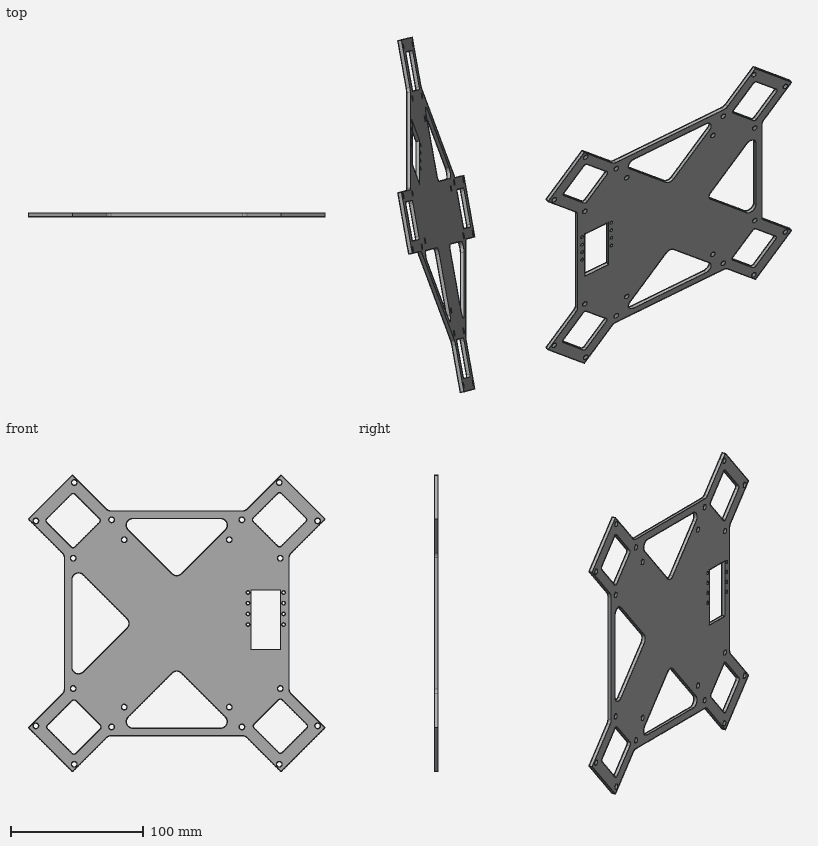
import cadquery as cq
import math

THICKNESS = 3.0
OVERALL = 224.3
BODY_SIDE = 170.0
ARM_WIDTH = 47.0
ARM_ROOT_RADIUS = 5.0

ARM_REACH = OVERALL / math.sqrt(2) - ARM_WIDTH / 2

ARM_WINDOW_SIDE = 30.0
ARM_WINDOW_RADIUS = 2.0
ARM_WINDOW_REACH = 110.4
ARM_WINDOW_OFFSET = 0.5

SCREW_DIAMETER = 4.0
ARM_HOLE_REACHES = (90.2, 130.0)
ARM_HOLE_SPACING = 41.0
BODY_HOLE_SPACING_X = 79.5
BODY_HOLE_SPACING_Z = 126.5

TRIANGLE_BASE = 79.2
TRIANGLE_APEX = 34.0
TRIANGLE_RADIUS = 5.0
TRIANGLE_ANGLES = (90, 180, 270)

SLOT_WIDTH = 22.0
SLOT_HEIGHT = 44.9
SLOT_X = 67.3
SLOT_Z = 2.7
PIN_DIAMETER = 2.5
PIN_PITCH = 8.0
PIN_COUNT = 4
PIN_ROW_SPACING = 27.0
PIN_CENTRE_Z = 11.2

ARM_ANGLES = (45, 135, 225, 315)


def sketch_plane():
    """XZ plane through mid-thickness: local x is X, local y is Z."""
    return cq.Workplane("XZ")


def extrude_through(outline):
    return outline.extrude(THICKNESS / 2, both=True)


def turned(solid, angle):
    """Turn from +X towards +Z about the plate centre."""
    return solid.rotate((0, 0, 0), (0, -1, 0), angle)


def plate_blank():
    blank = extrude_through(sketch_plane().rect(BODY_SIDE, BODY_SIDE))
    arm = extrude_through(
        sketch_plane().center(ARM_REACH / 2, 0).rect(ARM_REACH, ARM_WIDTH)
    )
    for angle in ARM_ANGLES:
        blank = blank.union(turned(arm, angle))
    limit = BODY_SIDE / 2 + ARM_ROOT_RADIUS
    roots = cq.selectors.BoxSelector((-limit, -THICKNESS, -limit), (limit, THICKNESS, limit))
    return blank.edges("|Y").edges(roots).fillet(ARM_ROOT_RADIUS)


def arm_cutouts():
    """Window and four screw holes of an arm lying along +X."""
    window = extrude_through(
        sketch_plane()
        .center(ARM_WINDOW_REACH, ARM_WINDOW_OFFSET)
        .rect(ARM_WINDOW_SIDE, ARM_WINDOW_SIDE)
    ).edges("|Y").fillet(ARM_WINDOW_RADIUS)
    hole_points = [
        (reach, side * ARM_HOLE_SPACING / 2)
        for reach in ARM_HOLE_REACHES
        for side in (-1, 1)
    ]
    holes = extrude_through(sketch_plane().pushPoints(hole_points).circle(SCREW_DIAMETER / 2))
    return window.union(holes)


def triangle_cutout():
    """Triangle on the +X side, its legs at 45 degrees to the base."""
    half_base = TRIANGLE_BASE - TRIANGLE_APEX
    outline = sketch_plane().polyline(
        [(TRIANGLE_APEX, 0), (TRIANGLE_BASE, -half_base), (TRIANGLE_BASE, half_base)]
    ).close()
    return extrude_through(outline).edges("|Y").fillet(TRIANGLE_RADIUS)


def body_holes():
    return extrude_through(
        sketch_plane()
        .rarray(BODY_HOLE_SPACING_X, BODY_HOLE_SPACING_Z, 2, 2)
        .circle(SCREW_DIAMETER / 2)
    )


def slot_cutout():
    slot = extrude_through(sketch_plane().center(SLOT_X, SLOT_Z).rect(SLOT_WIDTH, SLOT_HEIGHT))
    pins = extrude_through(
        sketch_plane()
        .center(SLOT_X, PIN_CENTRE_Z)
        .rarray(PIN_ROW_SPACING, PIN_PITCH, 2, PIN_COUNT)
        .circle(PIN_DIAMETER / 2)
    )
    return slot.union(pins)


result = plate_blank()
for arm_angle in ARM_ANGLES:
    result = result.cut(turned(arm_cutouts(), arm_angle))
for triangle_angle in TRIANGLE_ANGLES:
    result = result.cut(turned(triangle_cutout(), triangle_angle))
result = result.cut(body_holes()).cut(slot_cutout())